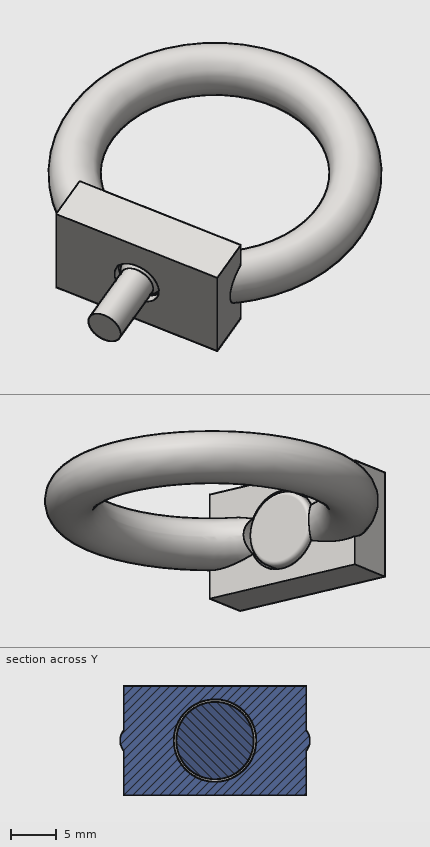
import cadquery as cq
import math

ring_outer_diameter = 36.5
ring_inner_diameter = 25.0
bar_diameter = (ring_outer_diameter - ring_inner_diameter) / 2
ring_mean_radius = (ring_outer_diameter - bar_diameter) / 2

block_width = 20.0
block_thickness = 5.5
block_height = 12.0
block_front_y = -ring_outer_diameter / 2
block_back_y = block_front_y + block_thickness

head_diameter = 8.5
head_height = 5.0
head_projection = 0.5
head_edge_radius = 0.5
head_back_y = block_back_y + head_projection
head_seat_y = head_back_y - head_height

shank_diameter = 5.0
shank_length = 0.08
core_diameter = 4.02
taper_half_angle = 30.0
taper_length = (shank_diameter - core_diameter) / 2 / math.tan(math.radians(taper_half_angle))
core_projection = 7.5
taper_start_y = head_seat_y - shank_length
taper_end_y = taper_start_y - taper_length
tip_y = block_front_y - core_projection

hole_diameter = 5.5
counterbore_diameter = 9.0


def cylinder_along_y(diameter, start_y, end_y):
    """Cylinder on the Y axis between two Y positions, start_y below end_y."""
    plane = cq.Workplane("XZ", origin=(0, start_y, 0))
    return plane.circle(diameter / 2).extrude(start_y - end_y)


def make_eye():
    """Ring and base block in one piece, bored for the screw."""
    bar_section = cq.Workplane("YZ").center(-ring_mean_radius, 0).circle(bar_diameter / 2)
    ring = bar_section.revolve(360, (ring_mean_radius, 0, 0), (ring_mean_radius, 1, 0))
    block = cq.Workplane("XY").box(block_width, block_thickness, block_height)
    block = block.translate((0, (block_front_y + block_back_y) / 2, 0))
    hole = cylinder_along_y(hole_diameter, block_front_y, block_back_y)
    counterbore = cylinder_along_y(counterbore_diameter, head_seat_y, 0)
    return ring.union(block).cut(hole).cut(counterbore)


def make_screw():
    """Turned screw: head with a rounded edge, shank, taper and thread core."""
    head_radius = head_diameter / 2
    shank_radius = shank_diameter / 2
    core_radius = core_diameter / 2
    profile = (
        cq.Workplane("XY")
        .moveTo(0, head_back_y)
        .lineTo(head_radius - head_edge_radius, head_back_y)
        .radiusArc((head_radius, head_back_y - head_edge_radius), head_edge_radius)
        .lineTo(head_radius, head_seat_y)
        .lineTo(shank_radius, head_seat_y)
        .lineTo(shank_radius, taper_start_y)
        .lineTo(core_radius, taper_end_y)
        .lineTo(core_radius, tip_y)
        .lineTo(0, tip_y)
        .close()
    )
    return profile.revolve(360, (0, 0, 0), (0, 1, 0))


eye = make_eye()
screw = make_screw()

result = cq.Compound.makeCompound([eye.solids().val(), screw.solids().val()])